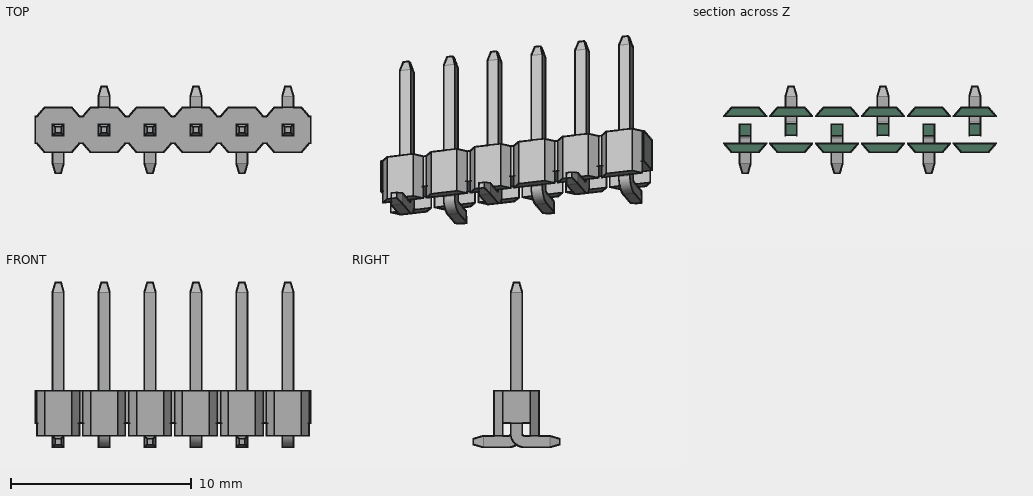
import cadquery as cq
import math

length = 15.25
contacts = 6
pitch = length / contacts
total_height = 9.13
foot_span = 4.8

pin_width = 0.64
tip_width = 0.32
tip_length = 0.55
bend_inner_radius = 0.12
bend_outer_radius = bend_inner_radius + pin_width

body_height = 2.5
body_depth = 2.5
block_length = 2.36
front_flat = 1.5
bridge_depth = 1.5
bridge_height = 1.8
body_bottom = pin_width
body_top = body_bottom + body_height
channel_height = body_height - bridge_height

tip_taper = math.degrees(math.atan((pin_width - tip_width) / 2 / tip_length))


def block(x):
    """Eight-sided housing block centred at x."""
    outline = [
        (-block_length / 2, -bridge_depth / 2),
        (-front_flat / 2, -body_depth / 2),
        (front_flat / 2, -body_depth / 2),
        (block_length / 2, -bridge_depth / 2),
        (block_length / 2, bridge_depth / 2),
        (front_flat / 2, body_depth / 2),
        (-front_flat / 2, body_depth / 2),
        (-block_length / 2, bridge_depth / 2),
    ]
    return (
        cq.Workplane("XY", origin=(x, 0, body_bottom))
        .polyline(outline)
        .close()
        .extrude(body_height)
    )


def tip(plane):
    """Tapered square pin end growing along the plane normal."""
    return cq.Workplane(plane).rect(pin_width, pin_width).extrude(tip_length, taper=tip_taper)


def pin():
    """L-shaped pin standing on the Z axis with its foot bent towards -Y."""
    half = pin_width / 2
    stem_end = total_height - tip_length
    foot_end = -(foot_span / 2 - tip_length)
    bend_y = -half - bend_inner_radius
    bend_z = bend_outer_radius
    diagonal = math.sqrt(0.5)
    outer_mid = (bend_y + bend_outer_radius * diagonal, bend_z - bend_outer_radius * diagonal)
    inner_mid = (bend_y + bend_inner_radius * diagonal, bend_z - bend_inner_radius * diagonal)

    bent_bar = (
        cq.Workplane("YZ")
        .moveTo(-half, stem_end)
        .lineTo(half, stem_end)
        .lineTo(half, bend_z)
        .threePointArc(outer_mid, (bend_y, 0))
        .lineTo(foot_end, 0)
        .lineTo(foot_end, pin_width)
        .lineTo(bend_y, pin_width)
        .threePointArc(inner_mid, (-half, bend_z))
        .close()
        .extrude(half, both=True)
    )
    stem_tip = tip(cq.Plane(origin=(0, 0, stem_end), xDir=(1, 0, 0), normal=(0, 0, 1)))
    foot_tip = tip(cq.Plane(origin=(0, foot_end, half), xDir=(1, 0, 0), normal=(0, -1, 0)))
    return bent_bar.union(stem_tip).union(foot_tip)


contact_positions = [(i - (contacts - 1) / 2) * pitch for i in range(contacts)]

housing = cq.Workplane("XY", origin=(0, 0, body_top - bridge_height / 2)).box(
    length, bridge_depth, bridge_height
)
for x in contact_positions:
    housing = housing.union(block(x))

channel = cq.Workplane("XY", origin=(0, 0, body_bottom + channel_height / 2)).box(
    length, bridge_depth, channel_height
)
result = housing.cut(channel)

front_pin = pin()
back_pin = front_pin.rotate((0, 0, 0), (0, 0, 1), 180)
for i, x in enumerate(contact_positions):
    bent_pin = front_pin if i % 2 == 0 else back_pin
    result = result.union(bent_pin.translate((x, 0, 0)))